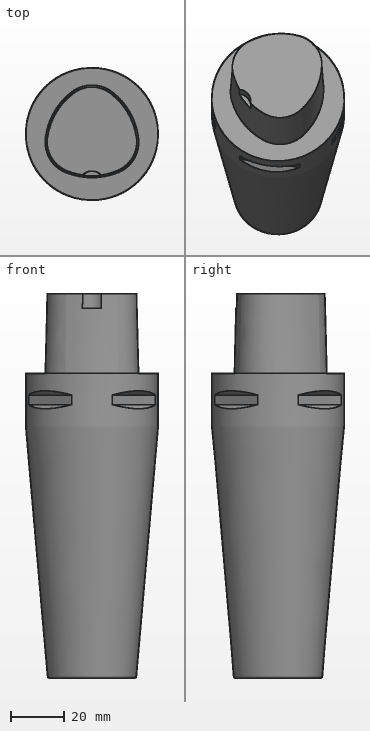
import cadquery as cq
import math

flange_diameter = 50.0
flange_height = 20.0

total_height = 145.0
shank_height = 30.0
body_tip_diameter = 33.4
tip_edge_radius = 1.0

flank_radius = 26.0
flank_distance = 16.48
flank_half_angle = 22.6
shank_taper = math.degrees(math.atan(1 / 40))
lobe_count = 3
first_flank_direction = -90.0

notch_radius = 4.8
notch_height = 5.4
notch_floor_distance = 14.0

groove_count = 4
groove_first_direction = 45.0
groove_center_z = -flange_height / 2
groove_floor_distance = 22.25
groove_floor_height = 3.6
groove_side_angle = 30.0

flange_radius = flange_diameter / 2


def polar(distance, angle):
    """Point at a distance from the axis in the direction of an angle in degrees."""
    return (
        distance * math.cos(math.radians(angle)),
        distance * math.sin(math.radians(angle)),
    )


def make_body():
    """Flange and cone turned in one piece, with a rounded tip edge."""
    bottom_z = shank_height - total_height
    profile = (
        cq.Workplane("XZ")
        .moveTo(0, 0)
        .lineTo(flange_radius, 0)
        .lineTo(flange_radius, -flange_height)
        .lineTo(body_tip_diameter / 2, bottom_z)
        .lineTo(0, bottom_z)
        .close()
    )
    body = profile.revolve(360, (0, 0, 0), (0, 1, 0))
    return body.faces("<Z").edges().fillet(tip_edge_radius)


def make_shank():
    """Tapered shank on an outline of six tangent arcs."""
    lobe_spacing = 360 / lobe_count
    flank_center_offset = flank_radius - flank_distance
    half_spacing = lobe_spacing / 2
    center_gap = (
        flank_center_offset
        * math.sin(math.radians(half_spacing))
        / math.sin(math.radians(half_spacing - flank_half_angle))
    )
    lobe_center_distance = (
        flank_center_offset
        * math.sin(math.radians(flank_half_angle))
        / math.sin(math.radians(half_spacing - flank_half_angle))
    )
    lobe_tip_distance = lobe_center_distance + flank_radius - center_gap

    def joint(flank_direction, side):
        center_x, center_y = polar(-flank_center_offset, flank_direction)
        arm_x, arm_y = polar(flank_radius, flank_direction + side * flank_half_angle)
        return (center_x + arm_x, center_y + arm_y)

    outline = cq.Workplane("XY").moveTo(*joint(first_flank_direction, -1))
    for index in range(lobe_count):
        flank = first_flank_direction + index * lobe_spacing
        outline = outline.threePointArc(polar(flank_distance, flank), joint(flank, 1))
        outline = outline.threePointArc(
            polar(lobe_tip_distance, flank + half_spacing),
            joint(flank + lobe_spacing, -1),
        )
    return outline.close().extrude(shank_height, taper=shank_taper)


def make_notch():
    """Upright cylinder that cuts the orientation notch."""
    return (
        cq.Workplane("XY")
        .workplane(offset=shank_height - notch_height)
        .center(0, -notch_floor_distance - notch_radius)
        .circle(notch_radius)
        .extrude(notch_height)
    )


def make_groove(direction):
    """Straight trapezoidal cutter crossing the flange rim in the given direction."""
    reach = flange_radius - groove_floor_distance
    half_floor = groove_floor_height / 2
    half_mouth = half_floor + reach * math.tan(math.radians(groove_side_angle))
    return (
        cq.Workplane("XZ")
        .moveTo(groove_floor_distance, groove_center_z - half_floor)
        .lineTo(flange_radius, groove_center_z - half_mouth)
        .lineTo(flange_radius, groove_center_z + half_mouth)
        .lineTo(groove_floor_distance, groove_center_z + half_floor)
        .close()
        .extrude(flange_radius, both=True)
        .rotate((0, 0, 0), (0, 0, 1), direction)
    )


result = make_body().union(make_shank()).cut(make_notch())
for index in range(groove_count):
    result = result.cut(make_groove(groove_first_direction + index * 360 / groove_count))